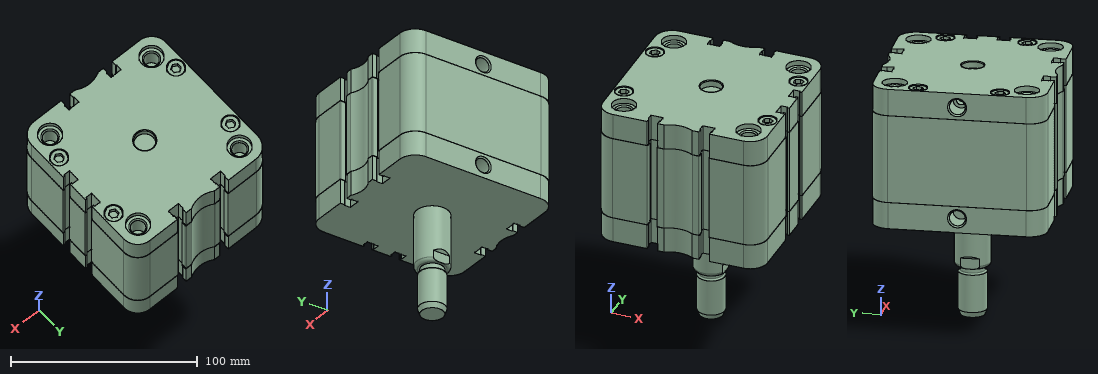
import cadquery as cq
import math


TOTAL_HEIGHT = 141
ROD_OVERHANG = 61.9
HOUSING_HEIGHT = TOTAL_HEIGHT - ROD_OVERHANG
CAP_HEIGHT = 15.0
TUBE_HEIGHT = HOUSING_HEIGHT - 2 * CAP_HEIGHT

TUBE_SIDE = 95.5
CAP_INSET = 0.1
CAP_SIDE = TUBE_SIDE - 2 * CAP_INSET
CORNER_RADIUS = 10.0

SLOT_INNER_WIDTH = 7.0
TUBE_MOUTH_WIDTH = 5.2
CAP_MOUTH_WIDTH = 6.0
MOUTH_ROUNDING = (CAP_MOUTH_WIDTH - TUBE_MOUTH_WIDTH) / 2
SIDE_SLOT_OFFSET = 15.0
SIDE_SLOT_DEPTH = 7.0
SIDE_LIP_DEPTH = 3.2
END_MOUTH_WIDTH = 5.4
END_SLOT_OFFSET = 9.0
END_SLOT_DEPTH = 5.2
END_LIP_DEPTH = 1.4
GROOVE_DIAMETER = 31
GROOVE_DEPTH = 2.4

CORNER_HOLE_OFFSET = 36.0
CORNER_BORE_DIAMETER = 8.3
CORNER_RIM_DIAMETER = 9.9
CORNER_COUNTERBORE_DIAMETER = 13.5
CORNER_COUNTERBORE_DEPTH = 3.0
CENTRE_HOLE_DIAMETER = 12.0
CENTRE_RIM_DIAMETER = 13.0
CENTRE_HOLE_DEPTH = 4.0

SCREW_X = 41.5
SCREW_Y = 22.3
SCREW_RECESS_DIAMETER = 10.3
SCREW_HEAD_DIAMETER = 9.6
SCREW_GAP_DEPTH = 2.0
SCREW_HEAD_DROP = 0.5
HEX_ACROSS_FLATS = 5.0
HEX_DEPTH = 3.0

PORT_EDGE_DISTANCE = 8.0
PORT_DIAMETER = 8.6
PORT_RIM_DIAMETER = 10.3
PORT_DEPTH = 12.0
PASSAGE_DIAMETER = 5.0
PASSAGE_DEPTH = 5.0

ROD_DIAMETER = 20.0
SHOULDER_Z = -34.0
SHOULDER_FILLET = 2.0
FLATS_WIDTH = 17.0
FLATS_TOP_Z = -27.9
NECK_DIAMETER = 13.5
NECK_FILLET = 0.8
THREAD_DIAMETER = 16.0
THREAD_TOP_Z = -37.5
TIP_CHAMFER_LENGTH = 3.2


def t_slot_cutter(mouth_width, depth, lip_depth, height):
    """T-slot profile that opens at Y = 0 and reaches down to Y = -depth."""
    half_mouth = mouth_width / 2
    half_inner = SLOT_INNER_WIDTH / 2
    right_side = [
        (half_mouth, 0),
        (half_mouth, -lip_depth),
        (half_inner, -lip_depth),
        (half_inner, -depth),
    ]
    left_side = [(-x, y) for x, y in reversed(right_side)]
    return cq.Workplane("XY").polyline(right_side + left_side).close().extrude(height)


def housing_section(side, side_mouth_width, height):
    """Square prism with the T-slots and finger grooves running along its whole height."""
    face = side / 2
    inset = (TUBE_SIDE - side) / 2
    groove_centre = TUBE_SIDE / 2 - GROOVE_DEPTH + GROOVE_DIAMETER / 2

    prism = cq.Workplane("XY").rect(side, side).extrude(height).edges("|Z").fillet(CORNER_RADIUS)

    side_slot = t_slot_cutter(side_mouth_width, SIDE_SLOT_DEPTH - inset, SIDE_LIP_DEPTH - inset, height)
    for x in (-SIDE_SLOT_OFFSET, SIDE_SLOT_OFFSET):
        slot = side_slot.translate((x, face, 0))
        prism = prism.cut(slot).cut(slot.mirror("XZ"))

    end_slot = t_slot_cutter(END_MOUTH_WIDTH, END_SLOT_DEPTH - inset, END_LIP_DEPTH - inset, height)
    end_slot = end_slot.rotate((0, 0, 0), (0, 0, 1), -90)
    for y in (-END_SLOT_OFFSET, END_SLOT_OFFSET):
        prism = prism.cut(end_slot.translate((face, y, 0)))

    grooves = (
        cq.Workplane("XY")
        .pushPoints([(0, groove_centre), (0, -groove_centre)])
        .circle(GROOVE_DIAMETER / 2)
        .extrude(height)
    )
    return prism.cut(grooves)


def turned_cutter(profile):
    """Solid of revolution about Z from (radius, z) points, closed along the axis."""
    points = [(0, profile[0][1])] + profile + [(0, profile[-1][1])]
    return cq.Workplane("XZ").polyline(points).close().revolve(360, (0, 0, 0), (0, 1, 0))


def chamfered_bore(diameter, rim_diameter, depth):
    """Bore below Z = 0 with a 45 degree countersunk rim."""
    radius = diameter / 2
    rim_radius = rim_diameter / 2
    return turned_cutter([(rim_radius, 0), (radius, radius - rim_radius), (radius, -depth)])


def corner_hole(depth):
    """Counterbored mounting hole below Z = 0."""
    counterbore = turned_cutter([
        (CORNER_COUNTERBORE_DIAMETER / 2, 0),
        (CORNER_COUNTERBORE_DIAMETER / 2, -CORNER_COUNTERBORE_DEPTH),
    ])
    bore = chamfered_bore(CORNER_BORE_DIAMETER, CORNER_RIM_DIAMETER, depth - CORNER_COUNTERBORE_DEPTH)
    return counterbore.union(bore.translate((0, 0, -CORNER_COUNTERBORE_DEPTH)))


def screw_recess():
    """Gap around a sunken screw head, together with the hexagon socket in the head."""
    recess = turned_cutter([(SCREW_RECESS_DIAMETER / 2, 0), (SCREW_RECESS_DIAMETER / 2, -SCREW_GAP_DEPTH)])
    head = turned_cutter([
        (SCREW_HEAD_DIAMETER / 2, -SCREW_HEAD_DROP),
        (SCREW_HEAD_DIAMETER / 2, -SCREW_GAP_DEPTH),
    ])
    hex_across_corners = HEX_ACROSS_FLATS / math.cos(math.pi / 6)
    socket = (
        cq.Workplane("XY")
        .polygon(6, hex_across_corners)
        .extrude(-HEX_DEPTH)
        .rotate((0, 0, 0), (0, 0, 1), 90)
    )
    return recess.cut(head).union(socket)


def air_port(z):
    """Port bore entering the -X face of a cap at height z."""
    bore = chamfered_bore(PORT_DIAMETER, PORT_RIM_DIAMETER, PORT_DEPTH)
    return bore.rotate((0, 0, 0), (0, 1, 0), -90).translate((-CAP_SIDE / 2, 0, z))


def cap_block():
    """Plain end cap with its slots and grooves, standing on Z = 0."""
    return housing_section(CAP_SIDE, CAP_MOUTH_WIDTH, CAP_HEIGHT)


def make_lower_cap():
    """Cap on the rod side, with the rod passage and one air port."""
    rod_passage = cq.Workplane("XY").circle(ROD_DIAMETER / 2).extrude(CAP_HEIGHT)
    return cap_block().cut(rod_passage).cut(air_port(PORT_EDGE_DISTANCE))


def make_tube():
    """Middle section, with the edges of its side slots and grooves rounded."""
    tube = housing_section(TUBE_SIDE, TUBE_MOUTH_WIDTH, TUBE_HEIGHT)
    reach = SIDE_SLOT_OFFSET + SLOT_INNER_WIDTH
    skin = MOUTH_ROUNDING / 2
    for face in (-TUBE_SIDE / 2, TUBE_SIDE / 2):
        mouth_zone = cq.selectors.BoxSelector((-reach, face - skin, 0), (reach, face + skin, TUBE_HEIGHT))
        tube = tube.edges("|Z").edges(mouth_zone).fillet(MOUTH_ROUNDING)
    return tube.translate((0, 0, CAP_HEIGHT))


def make_upper_cap():
    """Cap on the closed side, with mounting holes, screws, a centring hole and one air port."""
    cap = cap_block().translate((0, 0, HOUSING_HEIGHT - CAP_HEIGHT))
    hole = corner_hole(CAP_HEIGHT)
    screw = screw_recess()
    for x_side in (-1, 1):
        for y_side in (-1, 1):
            hole_place = (x_side * CORNER_HOLE_OFFSET, y_side * CORNER_HOLE_OFFSET, HOUSING_HEIGHT)
            screw_place = (x_side * SCREW_X, y_side * SCREW_Y, HOUSING_HEIGHT)
            cap = cap.cut(hole.translate(hole_place)).cut(screw.translate(screw_place))

    centre_hole = chamfered_bore(CENTRE_HOLE_DIAMETER, CENTRE_RIM_DIAMETER, CENTRE_HOLE_DEPTH)
    cap = cap.cut(centre_hole.translate((0, 0, HOUSING_HEIGHT)))

    port_z = HOUSING_HEIGHT - PORT_EDGE_DISTANCE
    passage = (
        cq.Workplane("YZ", origin=(-CAP_SIDE / 2, 0, port_z))
        .circle(PASSAGE_DIAMETER / 2)
        .extrude(PORT_DEPTH + PASSAGE_DEPTH)
    )
    return cap.cut(air_port(port_z)).cut(passage)


def make_rod():
    """Stepped rod: shank, undercut neck and threaded end, with two wrench flats."""
    rod_radius = ROD_DIAMETER / 2
    neck_radius = NECK_DIAMETER / 2
    thread_radius = THREAD_DIAMETER / 2
    arc_mid = 1 - math.sqrt(0.5)
    rod = (
        cq.Workplane("XZ")
        .moveTo(0, CAP_HEIGHT)
        .lineTo(rod_radius, CAP_HEIGHT)
        .lineTo(rod_radius, SHOULDER_Z + SHOULDER_FILLET)
        .threePointArc(
            (rod_radius - SHOULDER_FILLET * arc_mid, SHOULDER_Z + SHOULDER_FILLET * arc_mid),
            (rod_radius - SHOULDER_FILLET, SHOULDER_Z),
        )
        .lineTo(neck_radius, SHOULDER_Z)
        .lineTo(neck_radius, THREAD_TOP_Z + NECK_FILLET)
        .threePointArc(
            (neck_radius + NECK_FILLET * arc_mid, THREAD_TOP_Z + NECK_FILLET * arc_mid),
            (neck_radius + NECK_FILLET, THREAD_TOP_Z),
        )
        .lineTo(thread_radius, THREAD_TOP_Z)
        .lineTo(thread_radius, TIP_CHAMFER_LENGTH - ROD_OVERHANG)
        .lineTo(neck_radius, -ROD_OVERHANG)
        .lineTo(0, -ROD_OVERHANG)
        .close()
        .revolve(360, (0, 0, 0), (0, 1, 0))
    )

    flat_depth = (ROD_DIAMETER - FLATS_WIDTH) / 2
    flat_cutter = (
        cq.Workplane("XZ")
        .polyline([
            (FLATS_WIDTH / 2, SHOULDER_Z),
            (FLATS_WIDTH / 2, FLATS_TOP_Z),
            (rod_radius, FLATS_TOP_Z + flat_depth),
            (rod_radius, SHOULDER_Z),
        ])
        .close()
        .extrude(rod_radius, both=True)
    )
    return rod.cut(flat_cutter).cut(flat_cutter.mirror("YZ"))


lower_cap = make_lower_cap()
tube = make_tube()
upper_cap = make_upper_cap()
rod = make_rod()

result = cq.Compound.makeCompound([lower_cap.val(), tube.val(), upper_cap.val(), rod.val()])